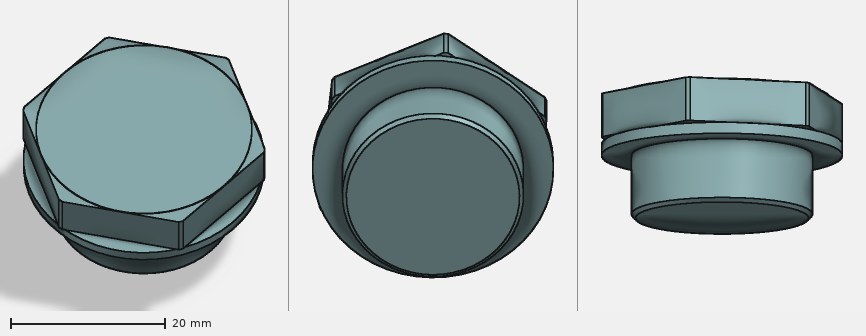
import cadquery as cq
import math

total_height = 15.8
flange_bottom = 8.25
flange_top = 9.7
head_bottom = 10.0

barrel_diameter = 23.5
flange_diameter = 31.25
neck_diameter = 26.6
across_flats = 28.0
across_corners = 32.0

barrel_chamfer = 0.5
top_pad_height = 0.1
hexagon_top = total_height - top_pad_height


def disc(diameter, bottom, top):
    """Vertical cylinder on the Z axis between two heights."""
    return cq.Workplane("XY").workplane(offset=bottom).circle(diameter / 2).extrude(top - bottom)


def hex_head():
    """Hexagon with corners toward +Y and -Y, its six corners trimmed by a cylinder."""
    sharp_corner_diameter = across_flats / math.cos(math.pi / 6)
    prism = (
        cq.Workplane("XY")
        .workplane(offset=head_bottom)
        .transformed(rotate=(0, 0, 90))
        .polygon(6, sharp_corner_diameter)
        .extrude(hexagon_top - head_bottom)
    )
    return prism.intersect(disc(across_corners, head_bottom, hexagon_top))


barrel = disc(barrel_diameter, 0, flange_bottom).faces("<Z").chamfer(barrel_chamfer)
flange = disc(flange_diameter, flange_bottom, flange_top)
neck = disc(neck_diameter, flange_top, head_bottom)

top_pad = disc(across_flats, hexagon_top, total_height)

result = barrel.union(flange).union(neck).union(hex_head()).union(top_pad)